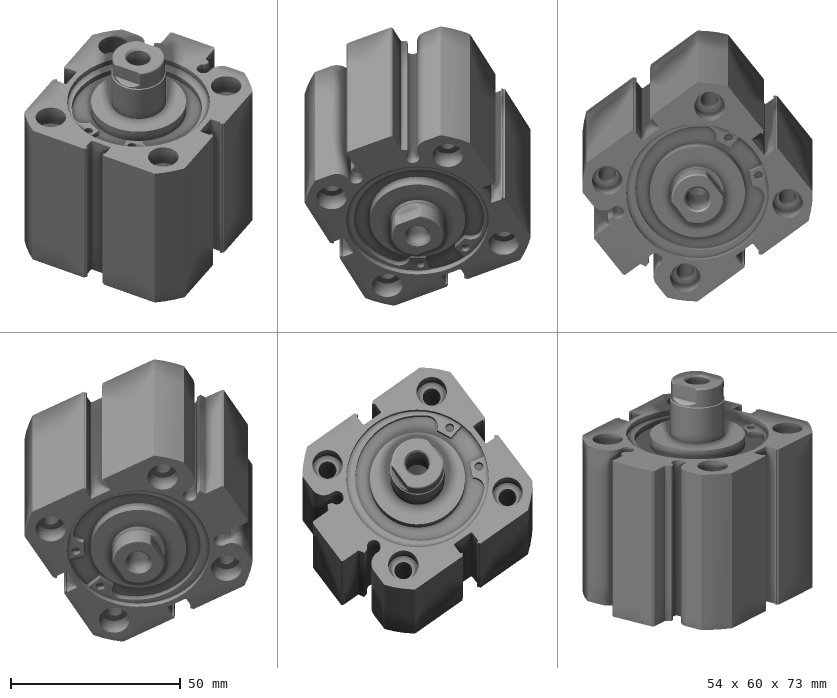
import cadquery as cq
import math


barrel_length = 49.0
half_z = barrel_length / 2
half_width = 27.0
corner_radius = 33.95
rail_half_width = 7.5
rail_top_y = 33.0
rail_edge_chamfer = 0.45

channel_x = 9.3
channel_y = 22.7
channel_radius = 2.05
shoulder_radius = 4.0
hook_tip = (9.2, 26.05)
hook_heel = (8.75, 24.75)
hook_root_x = 8.1

slot_mouth_width = 5.4
slot_width = 6.6
slot_depth = 4.45
slot_lip = 0.95
slot_corner_radius = 0.4
slot_lip_radius = 0.5

bolt_offset = 19.0
bolt_diameter = 5.25
bolt_head_diameter = 9.0
bolt_head_depth = 6.0

rod_radius = 8.0
rod_top_z = half_z + 17.0
rod_bottom_z = rod_top_z - 73.0
neck_radius = 7.75
neck_length = 6.0
neck_step_height = 0.15
rod_end_fillet = 0.5
flat_half_width = 6.5
flat_length = 4.4
port_radius = 3.5
port_mouth_radius = 4.0
port_depth = 14.6
port_tip_angle = 118.0

pocket_radius = 21.0
gland_face_depth = 3.5
gland_length = 10.95
gland_boss_radius = 14.0

ring_thickness = 1.75
ring_outer_radius = 22.2
ring_inner_radius = 19.2
ring_inner_y = -1.0
ring_relief_start_x = 14.2
ring_relief_mid = (11.75, -15.1)
lug_inner_corner = (8.9, -13.65)
lug_gap_corner = (4.7, -15.6)
lug_gap_end_x = 6.05
lug_hole_x = 7.3
lug_hole_y = -17.1
lug_hole_radius = 1.3


def at_other_end(body):
    """Copy of an end part, mirrored to the opposite end of the barrel."""
    return body.mirror("XY")


def barrel_outline():
    corner = math.sqrt(corner_radius**2 - half_width**2)
    mid = corner_radius / math.sqrt(2)
    shoulder_x = channel_x + channel_radius
    shoulder_centre = (shoulder_x + shoulder_radius, half_width - shoulder_radius)
    bend = shoulder_radius / math.sqrt(2)
    hook_root_y = channel_y + math.sqrt(channel_radius**2 - (channel_x - hook_root_x)**2)
    half = (
        cq.Workplane("XY")
        .moveTo(0, -half_width)
        .lineTo(corner, -half_width)
        .threePointArc((mid, -mid), (half_width, -corner))
        .lineTo(half_width, corner)
        .threePointArc((mid, mid), (corner, half_width))
        .lineTo(shoulder_centre[0], half_width)
        .threePointArc(
            (shoulder_centre[0] - bend, shoulder_centre[1] + bend),
            (shoulder_x, shoulder_centre[1]),
        )
        .lineTo(shoulder_x, channel_y)
        .threePointArc((channel_x, channel_y - channel_radius), (hook_root_x, hook_root_y))
        .lineTo(*hook_heel)
        .lineTo(*hook_tip)
        .lineTo(rail_half_width, half_width)
        .lineTo(rail_half_width, rail_top_y - rail_edge_chamfer)
        .lineTo(rail_half_width - rail_edge_chamfer, rail_top_y)
        .lineTo(0, rail_top_y)
    )
    return half.mirrorY()


def sensor_slot():
    """Cutter for one slot, opening toward -Y."""
    cavity_depth = slot_depth - slot_lip
    cavity = (
        cq.Workplane("XY")
        .center(0, -half_width + slot_lip + cavity_depth / 2)
        .rect(slot_width, cavity_depth)
        .extrude(half_z, both=True)
        .edges("|Z")
        .fillet(slot_corner_radius)
    )
    throat = slot_mouth_width / 2
    flare = throat + slot_lip_radius
    flare_end_y = -half_width + slot_lip_radius
    inner_y = -half_width + slot_lip + cavity_depth / 2
    mouth = (
        cq.Workplane("XY")
        .moveTo(-flare, -half_width)
        .lineTo(flare, -half_width)
        .radiusArc((throat, flare_end_y), -slot_lip_radius)
        .lineTo(throat, inner_y)
        .lineTo(-throat, inner_y)
        .lineTo(-throat, flare_end_y)
        .radiusArc((-flare, -half_width), -slot_lip_radius)
        .close()
        .extrude(half_z, both=True)
    )
    return cavity.union(mouth)


def gland_pocket():
    return (
        cq.Workplane("XY")
        .workplane(offset=half_z - gland_length)
        .circle(pocket_radius)
        .extrude(gland_length)
    )


def ring_groove():
    return (
        cq.Workplane("XY")
        .workplane(offset=half_z - gland_face_depth)
        .circle(ring_outer_radius)
        .extrude(ring_thickness)
    )


def bolt_points():
    return cq.Workplane("XY").rect(2 * bolt_offset, 2 * bolt_offset, forConstruction=True).vertices()


def bolt_head_pockets():
    return (
        bolt_points()
        .circle(bolt_head_diameter / 2)
        .extrude(bolt_head_depth)
        .translate((0, 0, half_z - bolt_head_depth))
    )


def make_barrel():
    barrel = barrel_outline().extrude(half_z, both=True)
    slot = sensor_slot()
    for angle in (-90, 0, 90):
        barrel = barrel.cut(slot.rotate((0, 0, 0), (0, 0, 1), angle))
    barrel = barrel.cut(bolt_points().circle(bolt_diameter / 2).extrude(half_z, both=True))
    barrel = barrel.cut(cq.Workplane("XY").circle(rod_radius).extrude(half_z, both=True))
    for cutter in (bolt_head_pockets(), gland_pocket(), ring_groove()):
        barrel = barrel.cut(cutter).cut(at_other_end(cutter))
    return barrel


def wrench_flats(end_z, inward):
    """Cutters for the two flats of a rod end, each running out in a 45 degree ramp."""
    reach = rod_radius - flat_half_width
    flat_z = end_z + inward * flat_length
    flat = (
        cq.Workplane("YZ")
        .moveTo(flat_half_width, end_z)
        .lineTo(flat_half_width, flat_z)
        .lineTo(flat_half_width + reach, flat_z + inward * reach)
        .lineTo(flat_half_width + reach, end_z)
        .close()
        .extrude(rod_radius, both=True)
    )
    return flat.union(flat.mirror("XZ"))


def end_port(end_z, inward):
    """Cutter for the blind drilled port in a rod end, with a chamfered mouth."""
    mouth_z = end_z + inward * (port_mouth_radius - port_radius)
    shoulder_z = end_z + inward * port_depth
    tip_length = port_radius / math.tan(math.radians(port_tip_angle / 2))
    return (
        cq.Workplane("XZ")
        .moveTo(0, end_z)
        .lineTo(port_mouth_radius, end_z)
        .lineTo(port_radius, mouth_z)
        .lineTo(port_radius, shoulder_z)
        .lineTo(0, shoulder_z + inward * tip_length)
        .close()
        .revolve(360, (0, 0, 0), (0, 1, 0))
    )


def make_rod():
    tip_radius = neck_radius - rod_end_fillet
    rod = (
        cq.Workplane("XZ")
        .moveTo(0, rod_bottom_z)
        .lineTo(tip_radius, rod_bottom_z)
        .radiusArc((neck_radius, rod_bottom_z + rod_end_fillet), -rod_end_fillet)
        .lineTo(neck_radius, rod_bottom_z + neck_length - neck_step_height)
        .lineTo(rod_radius, rod_bottom_z + neck_length)
        .lineTo(rod_radius, rod_top_z - neck_length)
        .lineTo(neck_radius, rod_top_z - neck_length + neck_step_height)
        .lineTo(neck_radius, rod_top_z - rod_end_fillet)
        .radiusArc((tip_radius, rod_top_z), -rod_end_fillet)
        .lineTo(0, rod_top_z)
        .close()
        .revolve(360, (0, 0, 0), (0, 1, 0))
    )
    for end_z, inward in ((rod_top_z, -1), (rod_bottom_z, 1)):
        rod = rod.cut(wrench_flats(end_z, inward)).cut(end_port(end_z, inward))
    return rod


def make_gland():
    flange = (
        cq.Workplane("XY")
        .workplane(offset=half_z - gland_length)
        .circle(pocket_radius)
        .extrude(gland_length - gland_face_depth)
    )
    boss = (
        cq.Workplane("XY")
        .workplane(offset=half_z - gland_length)
        .circle(gland_boss_radius)
        .extrude(gland_length)
    )
    rod_hole = cq.Workplane("XY").circle(rod_radius).extrude(half_z)
    return flange.union(boss).cut(rod_hole)


def make_ring():
    relief_start_y = ring_inner_y - math.sqrt(ring_inner_radius**2 - ring_relief_start_x**2)
    gap_end_y = -math.sqrt(ring_outer_radius**2 - lug_gap_end_x**2)
    ring = (
        cq.Workplane("XY")
        .workplane(offset=half_z - gland_face_depth)
        .moveTo(lug_gap_end_x, gap_end_y)
        .threePointArc((0, ring_outer_radius), (-lug_gap_end_x, gap_end_y))
        .lineTo(-lug_gap_corner[0], lug_gap_corner[1])
        .lineTo(-lug_inner_corner[0], lug_inner_corner[1])
        .threePointArc((-ring_relief_mid[0], ring_relief_mid[1]), (-ring_relief_start_x, relief_start_y))
        .threePointArc((0, ring_inner_y + ring_inner_radius), (ring_relief_start_x, relief_start_y))
        .threePointArc(ring_relief_mid, lug_inner_corner)
        .lineTo(*lug_gap_corner)
        .close()
        .extrude(ring_thickness)
    )
    lug_holes = (
        cq.Workplane("XY")
        .pushPoints([(-lug_hole_x, lug_hole_y), (lug_hole_x, lug_hole_y)])
        .circle(lug_hole_radius)
        .extrude(half_z)
    )
    return ring.cut(lug_holes)


barrel = make_barrel()
rod = make_rod()
end_parts = []
for end_part in (make_gland(), make_ring()):
    end_parts += [end_part.val(), at_other_end(end_part).val()]

result = cq.Compound.makeCompound([barrel.val(), rod.val(), *end_parts])